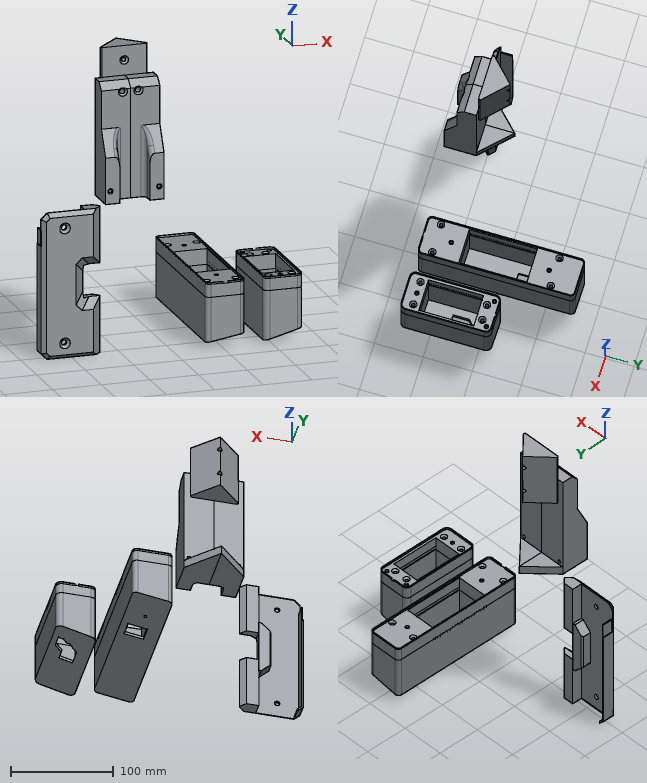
import cadquery as cq
import math


SELECT_MARGIN = 0.3

BACKWARD = (0, 1, 0)
DOWNWARD = (0, 0, -1)

GRIP_HALF_WIDTH = 30.0
GRIP_BOTTOM = 159.5
GRIP_HEIGHT = 120.0
GRIP_TOP = GRIP_BOTTOM + GRIP_HEIGHT
GRIP_UPPER_DEPTH = 19.8
GRIP_LOWER_DEPTH = 33.0
GRIP_TOP_CHAMFER = 7.5
SLOPE_BOTTOM_HEIGHT = 47.7
SLOPE_HEIGHT = 25.7
SLOPE_BOTTOM = GRIP_BOTTOM + SLOPE_BOTTOM_HEIGHT
SLOPE_TOP = SLOPE_BOTTOM + SLOPE_HEIGHT
FLANGE_HEIGHT = 9.3
CHANNEL_HALF_WIDTH = 15.5
CHANNEL_FILLET = 5.0

TOP_SCREW_X = 8.0
TOP_SCREW_DROP = 10.2
TOP_SCREW_Z = GRIP_TOP - TOP_SCREW_DROP
TOP_SCREW_BORE = 5.3
TOP_SCREW_SINK = 9.3
TOP_SCREW_DEPTH = 12.5
TOP_SCREW_PILOT = 2.6
MOUNT_HOLE_X = 25.0
MOUNT_HOLE_HEIGHT = 13.3
MOUNT_HOLE_Z = GRIP_BOTTOM + MOUNT_HOLE_HEIGHT
MOUNT_BORE = 3.5
MOUNT_SINK = 5.3

WEDGE_HALF_WIDTH = 24.2
WEDGE_TOP = 310
WEDGE_HEIGHT = 60.0
WEDGE_APEX = 25.5
WEDGE_CORNER_X = 1.2
WEDGE_CORNER_Y = 2.0
WEDGE_HOLE_DROPS = (15.0, 45.0)
WEDGE_BORE = 4.3
WEDGE_SINK = 8.7

PLATE_LEFT = -89.5
PLATE_WIDTH = 62.5
PLATE_RIGHT = PLATE_LEFT + PLATE_WIDTH
PLATE_HEIGHT = 150.0
PLATE_FRONT = -16.0
PLATE_BACK = 1.2
BLOCK_BACK = 0.5
PLATE_THICKNESS = 5.3
PLATE_INNER = PLATE_FRONT + PLATE_THICKNESS
PLATE_CORNER = 6.2
PLATE_EDGE_CHAMFER = 4.3
PLATE_RIGHT_CHAMFER = 10.2
BLOCK_WIDTH = 18.0
BLOCK_LEFT = PLATE_RIGHT - BLOCK_WIDTH
BLOCK_CORNER = 5.5
WALL_THICKNESS = 2.0
WALL_TOP = 132.0
WALL_STEP_Z = 116.2
WALL_STEP = 0.5
PLATE_HOLE_SIDE_INSET = 23.2
PLATE_HOLE_X = PLATE_LEFT + PLATE_HOLE_SIDE_INSET
PLATE_HOLE_END_INSET = 16.0
PLATE_BORE = 5.3
PLATE_SINK = 11.0
NOTCH_DEPTH = 17.7
NOTCH_HALF_HEIGHT = 16.7
NOTCH_FLARE = 10.2
NOTCH_FLARE_CORNER = 6.2
SURROUND_MARGIN = 13.3
SURROUND_BACK = 0.3
SURROUND_CORNER = 10.2
SURROUND_EDGE_CHAMFER = 2.0

BOX_FRONT = -35.5
BOX_TOP = 69.8
BOX_WIDTH = 40.0
RIM_THICKNESS = 1.0
RIM_DEPTH = 2.0
BOX_DECK = BOX_TOP - RIM_DEPTH
BOX_FLOOR = 3.0
BOX_BORE = 3.5
BOX_SINK = 7.0
PIN_BORE = 2.6
PIN_SINK = 4.3
LIP_DEPTH = 3.0
LIP_SIDE = 1.0
LIP_END = 2.5

LONG_LEFT = 72.5
LONG_LENGTH = 160.0
LONG_CORNER = 4.5
LONG_SPLIT = 55.0
LONG_LOW_SIDE = 8.5
LONG_HIGH_SIDE = 15.0
LONG_POCKET_WIDTH = 35.5
LONG_POCKET_Y = (6.2, 75.5)
LONG_WINDOW_X = (-6.5, 13.0)
LONG_WINDOW_LENGTH = 15.8
LONG_SCREW_X = 15.0
LONG_SCREW_YS = (-21.7, 99.2)
LONG_BLIND_HOLE_Y = -6.8
LONG_THROUGH_HOLE_Y = 93.0
LONG_SLOT_WIDTH = 5.5

SHORT_LEFT = 132.5
SHORT_LENGTH = 92.5
SHORT_CORNER = 6.0
SHORT_SPLIT = 55.8
SHORT_LOW_SIDE = 4.3
SHORT_HIGH_SIDE = 15.0
SHORT_POCKET_WIDTH = 33.0
SHORT_POCKET_Y = (-17.0, 39.0)
SHORT_FRONT_Y = -24.0
SHORT_FRONT_SCREW_X = 12.0
SHORT_REAR_SCREW = (8.0, 45.3)
SHORT_REAR_PIN = (13.5, 51.0)
SHORT_SLOT_WIDTH = 3.7
SHORT_WINDOW = [
    (-8.0, 11.0),
    (6.0, 11.0),
    (6.0, 20.0),
    (14.0, 27.0),
    (14.0, SHORT_POCKET_Y[1]),
    (8.5, SHORT_POCKET_Y[1]),
    (5.0, 35.5),
    (1.2, 35.5),
    (-8.0, 27.0),
]


def box_between(x, y, z):
    """Box spanning the given (low, high) pairs."""
    return cq.Workplane("XY").box(
        x[1] - x[0], y[1] - y[0], z[1] - z[0], centered=False
    ).translate((x[0], y[0], z[0]))


def straight_cutter(bore, start, along, length):
    """Plain round cutter that begins at start."""
    return cq.Workplane(cq.Solid.makeCylinder(bore / 2, length, cq.Vector(*start), cq.Vector(*along)))


def screw_cutter(bore, sink, start, along, length):
    """Straight bore with a 45 degree countersink that opens at start."""
    sink_depth = (sink - bore) / 2
    cone = cq.Solid.makeCone(sink / 2, bore / 2, sink_depth, cq.Vector(*start), cq.Vector(*along))
    return straight_cutter(bore, start, along, length).union(cq.Workplane(cone))


def make_grip_half(side):
    """One half of the grip; side is +1 for the right half and -1 for the left half."""
    profile = [
        (0, GRIP_BOTTOM),
        (-GRIP_LOWER_DEPTH, GRIP_BOTTOM),
        (-GRIP_LOWER_DEPTH, SLOPE_BOTTOM),
        (-GRIP_UPPER_DEPTH, SLOPE_TOP),
        (-GRIP_UPPER_DEPTH, GRIP_TOP - GRIP_TOP_CHAMFER),
        (GRIP_TOP_CHAMFER - GRIP_UPPER_DEPTH, GRIP_TOP),
        (0, GRIP_TOP),
    ]
    half = cq.Workplane("YZ").polyline(profile).close().extrude(GRIP_HALF_WIDTH)

    channel = box_between(
        (-CHANNEL_HALF_WIDTH, CHANNEL_HALF_WIDTH),
        (-GRIP_LOWER_DEPTH - CHANNEL_FILLET, -GRIP_UPPER_DEPTH),
        (GRIP_BOTTOM, SLOPE_TOP),
    ).edges("|Z and >Y").fillet(CHANNEL_FILLET)
    half = half.cut(channel)

    slope_edges = cq.selectors.BoxSelector(
        (CHANNEL_HALF_WIDTH - CHANNEL_FILLET, -GRIP_LOWER_DEPTH, SLOPE_BOTTOM),
        (CHANNEL_HALF_WIDTH + SELECT_MARGIN, -GRIP_UPPER_DEPTH, SLOPE_TOP - SELECT_MARGIN),
    )
    half = half.edges(slope_edges).fillet(CHANNEL_FILLET)

    flange = (
        cq.Workplane("XY", origin=(0, 0, GRIP_BOTTOM))
        .polyline([(0, 0), (GRIP_HALF_WIDTH, 0), (0, GRIP_HALF_WIDTH)])
        .close()
        .extrude(FLANGE_HEIGHT)
    )
    half = half.union(flange)

    top_screw = (TOP_SCREW_X, -GRIP_UPPER_DEPTH, TOP_SCREW_Z)
    half = half.cut(screw_cutter(TOP_SCREW_BORE, TOP_SCREW_SINK, top_screw, BACKWARD, TOP_SCREW_DEPTH))
    half = half.cut(straight_cutter(TOP_SCREW_PILOT, top_screw, BACKWARD, GRIP_UPPER_DEPTH))

    mount = (MOUNT_HOLE_X, -GRIP_LOWER_DEPTH, MOUNT_HOLE_Z)
    half = half.cut(screw_cutter(MOUNT_BORE, MOUNT_SINK, mount, BACKWARD, GRIP_LOWER_DEPTH))
    return half if side > 0 else half.mirror("YZ")


def make_wedge():
    """Three-sided wedge with blunted side corners and two countersunk holes."""
    face_half_width = WEDGE_HALF_WIDTH - WEDGE_CORNER_X
    outline = [
        (-face_half_width, 0),
        (face_half_width, 0),
        (WEDGE_HALF_WIDTH, WEDGE_CORNER_Y),
        (0, WEDGE_APEX),
        (-WEDGE_HALF_WIDTH, WEDGE_CORNER_Y),
    ]
    bottom = WEDGE_TOP - WEDGE_HEIGHT
    wedge = cq.Workplane("XY", origin=(0, 0, bottom)).polyline(outline).close().extrude(WEDGE_HEIGHT)
    for drop in WEDGE_HOLE_DROPS:
        start = (0, 0, WEDGE_TOP - drop)
        wedge = wedge.cut(screw_cutter(WEDGE_BORE, WEDGE_SINK, start, BACKWARD, WEDGE_APEX))
    return wedge


def xz_prism(points, front, back):
    """Prism with an X-Z outline between two Y positions."""
    return cq.Workplane("XZ", origin=(0, back, 0)).polyline(points).close().extrude(back - front)


def notch_outline(depth, half_height, corner):
    """Outline open to the right of the plate, with its two left corners cut at 45 degrees."""
    middle = PLATE_HEIGHT / 2
    left = PLATE_RIGHT - depth
    right = PLATE_RIGHT
    return [
        (right, middle - half_height),
        (right, middle + half_height),
        (left + corner, middle + half_height),
        (left, middle + half_height - corner),
        (left, middle - half_height + corner),
        (left + corner, middle - half_height),
    ]


def make_plate_pocket():
    """Space behind the plate: open above and below, bounded by the side wall and the block."""
    left = PLATE_LEFT
    pocket = box_between((left, BLOCK_LEFT), (PLATE_INNER, PLATE_BACK), (0, PLATE_HEIGHT))
    inner_corner = PLATE_CORNER + WALL_THICKNESS * math.tan(math.pi / 8)
    wall_outline = [
        (left, PLATE_CORNER),
        (left + PLATE_CORNER, 0),
        (left + PLATE_CORNER, WALL_THICKNESS * math.sqrt(2)),
        (left + WALL_THICKNESS, inner_corner),
        (left + WALL_THICKNESS, WALL_TOP),
        (left + WALL_STEP, WALL_TOP),
        (left + WALL_STEP, WALL_STEP_Z),
        (left, WALL_STEP_Z),
    ]
    wall = xz_prism(wall_outline, PLATE_INNER, PLATE_BACK)
    surround = xz_prism(
        notch_outline(NOTCH_DEPTH + SURROUND_MARGIN, NOTCH_HALF_HEIGHT + SURROUND_MARGIN, SURROUND_CORNER),
        PLATE_INNER, SURROUND_BACK,
    ).faces("<X").edges(">Y").chamfer(SURROUND_EDGE_CHAMFER)
    return pocket.cut(wall).cut(surround)


def make_guard_plate():
    """Guard plate with a side wall, a thick right block and a flared notch."""
    outline = [
        (PLATE_RIGHT, 0),
        (PLATE_RIGHT, PLATE_HEIGHT),
        (PLATE_LEFT + PLATE_CORNER, PLATE_HEIGHT),
        (PLATE_LEFT, PLATE_HEIGHT - PLATE_CORNER),
        (PLATE_LEFT, PLATE_CORNER),
        (PLATE_LEFT + PLATE_CORNER, 0),
    ]
    plate = xz_prism(outline, PLATE_FRONT, PLATE_BACK)
    block_x = (BLOCK_LEFT, PLATE_RIGHT)
    plate = plate.cut(box_between(block_x, (BLOCK_BACK, PLATE_BACK), (0, PLATE_HEIGHT)))
    plate = plate.faces(">X").edges(">Y").chamfer(BLOCK_CORNER)
    plate = plate.faces(">X").edges("<Y").chamfer(PLATE_RIGHT_CHAMFER)
    rim_edges = "(not >X) and (not |Z) or <X"
    plate = plate.faces("<Y").edges(rim_edges).chamfer(PLATE_EDGE_CHAMFER)
    plate = plate.cut(make_plate_pocket())

    middle = PLATE_HEIGHT / 2
    opening = box_between(
        (PLATE_RIGHT - NOTCH_DEPTH, PLATE_RIGHT),
        (PLATE_FRONT, PLATE_BACK),
        (middle - NOTCH_HALF_HEIGHT, middle + NOTCH_HALF_HEIGHT),
    )
    flare_depth = NOTCH_DEPTH + NOTCH_FLARE
    flare_half_height = NOTCH_HALF_HEIGHT + NOTCH_FLARE
    flare = (
        cq.Workplane("XZ", origin=(0, PLATE_FRONT, 0))
        .polyline(notch_outline(flare_depth, flare_half_height, NOTCH_FLARE_CORNER))
        .close()
        .workplane(offset=-NOTCH_FLARE)
        .polyline(notch_outline(NOTCH_DEPTH, NOTCH_HALF_HEIGHT, NOTCH_FLARE_CORNER))
        .close()
        .loft(ruled=True)
    )
    plate = plate.cut(opening).cut(flare)

    for z in (PLATE_HOLE_END_INSET, PLATE_HEIGHT - PLATE_HOLE_END_INSET):
        plate = plate.cut(screw_cutter(
            PLATE_BORE, PLATE_SINK, (PLATE_HOLE_X, PLATE_FRONT, z), BACKWARD, PLATE_THICKNESS))
    return plate


def rounded_block(left, length, corner, bottom, top):
    """Upright block with rounded vertical edges."""
    return box_between(
        (left, left + BOX_WIDTH), (BOX_FRONT, BOX_FRONT + length), (bottom, top)
    ).edges("|Z").fillet(corner)


def pocket_span(left, width):
    """X range of a pocket centred in the box width."""
    center = left + BOX_WIDTH / 2
    return (center - width / 2, center + width / 2)


def make_lip(pocket_x, pocket_y, split):
    """Block around the pocket that reaches from the lid down into the body."""
    return box_between(
        (pocket_x[0] - LIP_SIDE, pocket_x[1] + LIP_SIDE),
        (pocket_y[0] - LIP_END, pocket_y[1] + LIP_END),
        (split - LIP_DEPTH, split),
    )


def make_lid(left, length, corner, split, pocket_width, pocket_y):
    """Box lid with a thin raised rim, the pocket opening and a lip below it."""
    pocket_x = pocket_span(left, pocket_width)
    lid = rounded_block(left, length, corner, split, BOX_TOP)
    lid = lid.faces(">Z").wires().toPending().workplane().offset2D(-RIM_THICKNESS).cutBlind(-RIM_DEPTH)
    lid = lid.union(make_lip(pocket_x, pocket_y, split))
    return lid.cut(box_between(pocket_x, pocket_y, (split - LIP_DEPTH, BOX_TOP)))


def sloped_floor_prism(x, y, low, high, box_left, top):
    """Prism below top whose bottom is parallel to a line falling from high (right) to low (left)."""
    fall = (high - low) / BOX_WIDTH
    points = [
        (x[0], low + fall * (x[0] - box_left)),
        (x[1], low + fall * (x[1] - box_left)),
        (x[1], top),
        (x[0], top),
    ]
    return xz_prism(points, y[0], y[1])


def make_box_body(left, length, corner, split, low, high, pocket_width, pocket_y):
    """Lower part of a box with a slanted bottom and a pocket floor parallel to it."""
    pocket_x = pocket_span(left, pocket_width)
    body = rounded_block(left, length, corner, 0, split)
    body = body.intersect(sloped_floor_prism(
        (left, left + BOX_WIDTH), (BOX_FRONT, BOX_FRONT + length), low, high, left, split))
    body = body.cut(make_lip(pocket_x, pocket_y, split))
    return body.cut(sloped_floor_prism(
        pocket_x, pocket_y, low + BOX_FLOOR, high + BOX_FLOOR, left, split))


def cut_lid_holes(lid, center, split, bore, sink, places):
    """Countersunk holes through a lid at (offset from its middle, Y)."""
    for x, y in places:
        start = (center + x, y, BOX_DECK)
        lid = lid.cut(screw_cutter(bore, sink, start, DOWNWARD, BOX_DECK - split))
    return lid


def cut_rim_slot(lid, center, width, rim_front):
    """Slot through the front or back rim of a lid, down to its deck."""
    slot_x = (center - width / 2, center + width / 2)
    return lid.cut(box_between(slot_x, (rim_front, rim_front + RIM_THICKNESS), (BOX_DECK, BOX_TOP)))


def make_long_lid():
    """Lid of the long box, with a slot through its front rim."""
    center = LONG_LEFT + BOX_WIDTH / 2
    lid = make_lid(LONG_LEFT, LONG_LENGTH, LONG_CORNER, LONG_SPLIT, LONG_POCKET_WIDTH, LONG_POCKET_Y)
    places = [(side * LONG_SCREW_X, y) for side in (-1, 1) for y in LONG_SCREW_YS]
    lid = cut_lid_holes(lid, center, LONG_SPLIT, BOX_BORE, BOX_SINK, places)
    pins = [(0, LONG_BLIND_HOLE_Y), (0, LONG_THROUGH_HOLE_Y)]
    lid = cut_lid_holes(lid, center, LONG_SPLIT, PIN_BORE, PIN_SINK, pins)
    return cut_rim_slot(lid, center, LONG_SLOT_WIDTH, BOX_FRONT)


def make_long_body():
    """Lower part of the long box, with a rectangular window in its floor."""
    center = LONG_LEFT + BOX_WIDTH / 2
    body = make_box_body(LONG_LEFT, LONG_LENGTH, LONG_CORNER, LONG_SPLIT, LONG_LOW_SIDE, LONG_HIGH_SIDE,
                         LONG_POCKET_WIDTH, LONG_POCKET_Y)
    window_x = (center + LONG_WINDOW_X[0], center + LONG_WINDOW_X[1])
    window_y = (LONG_POCKET_Y[1] - LONG_WINDOW_LENGTH, LONG_POCKET_Y[1])
    body = body.cut(box_between(window_x, window_y, (0, LONG_SPLIT)))
    return body.cut(straight_cutter(
        PIN_BORE, (center, LONG_THROUGH_HOLE_Y, LONG_SPLIT), DOWNWARD, LONG_SPLIT))


def make_short_lid():
    """Lid of the short box, with a slot through its back rim."""
    center = SHORT_LEFT + BOX_WIDTH / 2
    lid = make_lid(SHORT_LEFT, SHORT_LENGTH, SHORT_CORNER, SHORT_SPLIT, SHORT_POCKET_WIDTH, SHORT_POCKET_Y)
    rear_x, rear_y = SHORT_REAR_SCREW
    pin_x, pin_y = SHORT_REAR_PIN
    places = [
        (side * x, y)
        for side in (-1, 1)
        for x, y in ((SHORT_FRONT_SCREW_X, SHORT_FRONT_Y), (rear_x, rear_y))
    ]
    lid = cut_lid_holes(lid, center, SHORT_SPLIT, BOX_BORE, BOX_SINK, places)
    pins = [(0, SHORT_FRONT_Y), (-pin_x, pin_y), (pin_x, pin_y)]
    lid = cut_lid_holes(lid, center, SHORT_SPLIT, PIN_BORE, PIN_SINK, pins)
    back_rim = BOX_FRONT + SHORT_LENGTH - RIM_THICKNESS
    return cut_rim_slot(lid, center, SHORT_SLOT_WIDTH, back_rim)


def make_short_body():
    """Lower part of the short box, with an angular window in its floor."""
    center = SHORT_LEFT + BOX_WIDTH / 2
    body = make_box_body(SHORT_LEFT, SHORT_LENGTH, SHORT_CORNER, SHORT_SPLIT, SHORT_LOW_SIDE, SHORT_HIGH_SIDE,
                         SHORT_POCKET_WIDTH, SHORT_POCKET_Y)
    tilt = math.atan((SHORT_HIGH_SIDE - SHORT_LOW_SIDE) / BOX_WIDTH)
    floor_middle = (SHORT_LOW_SIDE + SHORT_HIGH_SIDE) / 2 + BOX_FLOOR
    floor_plane = cq.Plane(
        origin=(center, 0, floor_middle),
        xDir=(math.cos(tilt), 0, math.sin(tilt)),
        normal=(-math.sin(tilt), 0, math.cos(tilt)),
    )
    cutter = cq.Workplane(floor_plane).polyline(SHORT_WINDOW).close().extrude(2 * BOX_FLOOR, both=True)
    return body.cut(cutter)


grip_halves = [make_grip_half(side) for side in (-1, 1)]
wedge = make_wedge()
guard_plate = make_guard_plate()
long_lid = make_long_lid()
long_body = make_long_body()
short_lid = make_short_lid()
short_body = make_short_body()

result = cq.Compound.makeCompound([
    *[half.val() for half in grip_halves],
    wedge.val(),
    guard_plate.val(),
    long_lid.val(),
    long_body.val(),
    short_lid.val(),
    short_body.val(),
])